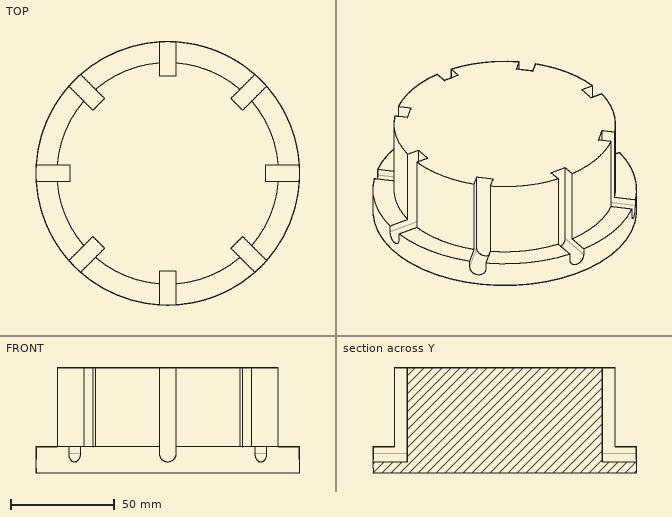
import cadquery as cq

flange_diameter = 127.0
flange_height = 12.7
boss_diameter = 106.7
total_height = 50.8

slot_count = 8
slot_width = 8.0
slot_inner_radius = 47.0
slot_axis_height = 9.4

flange_radius = flange_diameter / 2
slot_radius = slot_width / 2


def make_body():
    flange = cq.Workplane("XY").circle(flange_radius).extrude(flange_height)
    boss = cq.Workplane("XY").circle(boss_diameter / 2).extrude(total_height)
    return flange.union(boss)


def make_slot():
    """Slot cutter along +X: half-round floor, straight walls, open at the top and rim."""
    slot_length = flange_radius - slot_inner_radius + slot_width
    return (
        cq.Workplane("YZ", origin=(slot_inner_radius, 0, 0))
        .moveTo(-slot_radius, total_height)
        .lineTo(-slot_radius, slot_axis_height)
        .threePointArc((0, slot_axis_height - slot_radius), (slot_radius, slot_axis_height))
        .lineTo(slot_radius, total_height)
        .close()
        .extrude(slot_length)
    )


result = make_body()
slot = make_slot()
for index in range(slot_count):
    angle = index * 360 / slot_count
    result = result.cut(slot.rotate((0, 0, 0), (0, 0, 1), angle))